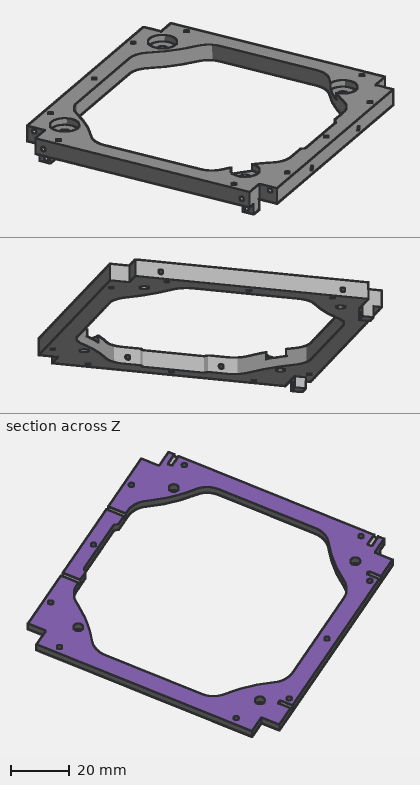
import cadquery as cq
import math

OUTER_SIZE = 96.8
OUTER_HALF = OUTER_SIZE / 2
NOTCH = 6.9
INNER_HALF = OUTER_HALF - NOTCH
FRAME_TOP = 6.0

CORNER_BOW_MIDDLE = 31.2
CORNER_BOW_RADIUS = 50.3
END_ROUND_RADIUS = 8.3

RELIEF_DEPTH = 1.3
RELIEF_HALF_LENGTH = 12.4
RELIEF_BLEND_LENGTH = 1.8

MOUNT_CENTER_X = -2.5
MOUNT_HALF_SPACING = 34.9
MOUNT_DIAMETER = 3.2
COUNTERBORE_DIAMETER = 10.0
COUNTERBORE_DEPTH = 2.5

SMALL_DIAMETER = 1.6
END_BAR_HOLE = (34.0, 45.7)
SIDE_BAR_HOLE = (45.9, 29.5)
SIDE_MIDDLE_HOLE_X = 44.9
BLIND_DEPTH = 4.8
FRONT_HOLE_X = 38.4
FRONT_HOLE_Z = 2.6
NOTCH_HOLE_X = 45.7
NOTCH_HOLE_Z = 4.5
SIDE_HOLE_Y = 32.4
SIDE_HOLE_Z = 2.4
RELIEF_WALL_HOLE_Y = 16.65

FOOT_WIDTH = 4.3
FOOT_LENGTH = 4.0
FOOT_HEIGHT = 4.0
FOOT_HOLE_X = 38.8
FOOT_HOLE_Z = -2.4

SIGNS = (-1, 1)


def four_corners(x, y):
    return [(sx * x, sy * y) for sx in SIGNS for sy in SIGNS]


def cylinder(start, direction, length):
    """Small-diameter cylinder from start along direction."""
    return cq.Workplane(obj=cq.Solid.makeCylinder(
        SMALL_DIAMETER / 2, length, cq.Vector(*start), cq.Vector(*direction)))


def make_frame():
    wide = cq.Workplane("XY").rect(OUTER_SIZE, 2 * INNER_HALF).extrude(FRAME_TOP)
    tall = cq.Workplane("XY").rect(2 * INNER_HALF, OUTER_SIZE).extrude(FRAME_TOP)
    return wide.union(tall)


def make_opening():
    """Square whose corners are filled by large bowed discs, with rounded joints."""
    opening = cq.Workplane("XY").rect(2 * INNER_HALF, 2 * INNER_HALF).extrude(FRAME_TOP)
    bow_center = CORNER_BOW_MIDDLE + CORNER_BOW_RADIUS / math.sqrt(2)
    bows = (
        cq.Workplane("XY")
        .pushPoints(four_corners(bow_center, bow_center))
        .circle(CORNER_BOW_RADIUS)
        .extrude(FRAME_TOP)
    )
    opening = opening.cut(bows).edges("|Z").fillet(END_ROUND_RADIUS)
    relief_x = INNER_HALF + RELIEF_DEPTH
    flat_half = RELIEF_HALF_LENGTH - RELIEF_BLEND_LENGTH
    blend_middle_x = INNER_HALF + RELIEF_DEPTH / 2
    blend_middle_y = RELIEF_HALF_LENGTH - RELIEF_BLEND_LENGTH / 2
    relief = (
        cq.Workplane("XY")
        .moveTo(relief_x, 0)
        .lineTo(relief_x, flat_half)
        .tangentArcPoint((blend_middle_x, blend_middle_y), relative=False)
        .tangentArcPoint((INNER_HALF, RELIEF_HALF_LENGTH), relative=False)
        .lineTo(0, RELIEF_HALF_LENGTH)
        .lineTo(0, 0)
        .mirrorX()
        .extrude(FRAME_TOP)
    )
    return opening.union(relief)


def make_feet():
    foot_x = INNER_HALF - FOOT_WIDTH / 2
    foot_y = -INNER_HALF - FOOT_LENGTH / 2
    return (
        cq.Workplane("XY")
        .pushPoints([(s * foot_x, foot_y) for s in SIGNS])
        .rect(FOOT_WIDTH, FOOT_LENGTH)
        .extrude(-FOOT_HEIGHT)
    )


def drill_vertical_holes(body):
    mounts = [(MOUNT_CENTER_X + x, y) for x, y in four_corners(MOUNT_HALF_SPACING, MOUNT_HALF_SPACING)]
    small = four_corners(*END_BAR_HOLE) + four_corners(*SIDE_BAR_HOLE)
    small += [(s * SIDE_MIDDLE_HOLE_X, 0) for s in SIGNS]
    top = cq.Workplane("XY").workplane(offset=FRAME_TOP)
    body = body.cut(top.pushPoints(mounts).circle(MOUNT_DIAMETER / 2).extrude(-FRAME_TOP))
    body = body.cut(top.pushPoints(mounts).circle(COUNTERBORE_DIAMETER / 2).extrude(-COUNTERBORE_DEPTH))
    return body.cut(top.pushPoints(small).circle(SMALL_DIAMETER / 2).extrude(-FRAME_TOP))


def drill_horizontal_holes(body):
    for s in SIGNS:
        body = body.cut(cylinder((s * FRONT_HOLE_X, -OUTER_HALF, FRONT_HOLE_Z), (0, 1, 0), BLIND_DEPTH))
        body = body.cut(cylinder((s * NOTCH_HOLE_X, -INNER_HALF, NOTCH_HOLE_Z), (0, 1, 0), BLIND_DEPTH))
        body = body.cut(cylinder((-OUTER_HALF, s * SIDE_HOLE_Y, SIDE_HOLE_Z), (1, 0, 0), BLIND_DEPTH))
        body = body.cut(cylinder((INNER_HALF, s * RELIEF_WALL_HOLE_Y, SIDE_HOLE_Z), (1, 0, 0), NOTCH))
        body = body.cut(cylinder((s * FOOT_HOLE_X, -OUTER_HALF, FOOT_HOLE_Z), (0, 1, 0), NOTCH))
    return body


body = make_frame().cut(make_opening()).union(make_feet())
body = drill_vertical_holes(body)
result = drill_horizontal_holes(body)